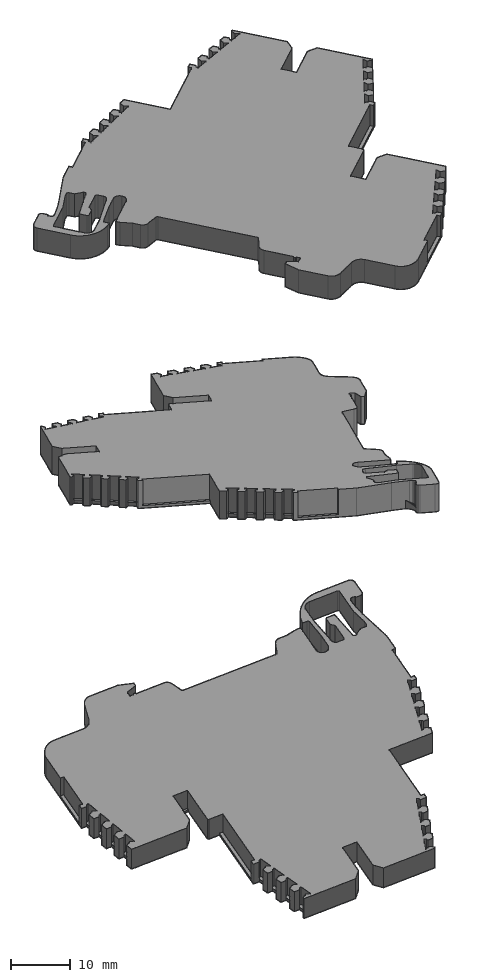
import cadquery as cq
import math

thickness = 5.0
overall_width = 64.0
overall_height = 60.0

lower_left = 0.85
lower_half_width = (overall_width - lower_left) / 2
lower_center = lower_left + lower_half_width
lower_top = 36.9
foot_top = 14.1

upper_center = 27.9
upper_half_width = 16.3

notch_count = 4
notch_height = 1.85
notch_floor_depth = 0.95
notch_floor_drop = 0.5
pocket_depth = 1.65
pocket_top_drop = 0.25
pocket_bottom_drop = 2.4
tooth_root_depth = 1.2
tooth_root_drop = 2.2
notch_web = 0.65
upper_row_height = 8.65
upper_row_run = 3.1
upper_pitch = upper_row_height / (notch_count - 1)
upper_lean = upper_row_run / upper_row_height
upper_tip_y = 59.75
upper_tip_half_width = 12.4
lower_row_height = 8.95
lower_row_run = 2.45
lower_pitch = lower_row_height / (notch_count - 1)
lower_lean = lower_row_run / lower_row_height
lower_tip_y = 35.7
lower_tip_half_width = 28.7
shoulder_round = 0.1
upper_shoulder = upper_tip_y - upper_row_height - notch_height
lower_shoulder = lower_tip_y - lower_row_height - notch_height

recess_depth = 0.65
lip = 0.48
upper_recess_top = 48.4
lower_recess_bottom = 17.2
lower_recess_top = 24.1

slot_width = 2.7
lead_in_width = 1.3
lead_in_depth = 1.4
upper_slot_floor = 52.75
lower_slot_left = 46.4
lower_slot_floor = 29.45
lower_slot_step = 0.4

foot_floor = 9.15
rail_pad = 6.2
hook_floor = 3.15
rail_recess_half_width = 8.95
rail_recess_taper = 1.1
heel_top = 4.0
heel_notch_floor = 3.7
clip_arm_x = 2.5
clip_bow_radius = 5.25
clip_bow_start = 6.7
clip_bow_end_angle = math.radians(80)
clip_tip_x = 12.05
clip_tip_y = 5.0
clip_gap_left = 10.55
clip_gap_right = 12.8
clip_gap_top = 12.5
window_floor = 1.3
window_top = 11.45
tongue_tip = 5.75

gusset_radius = 1.8
gusset_end_y = heel_top + gusset_radius
gusset_back_height = 1.7
gusset_front_height = 0.65


def plate(points, height=thickness):
    return cq.Workplane("XY").polyline(points).close().extrude(height)


def box(x0, y0, x1, y1, z0, z1):
    return cq.Workplane("XY").box(x1 - x0, y1 - y0, z1 - z0, centered=False).translate((x0, y0, z0))


def round_corners(body, corners):
    """Round the upright edges standing at the (x, y, radius) corners."""
    reach = 0.01
    for x, y, radius in corners:
        around = cq.selectors.BoxSelector(
            (x - reach, y - reach, 0), (x + reach, y + reach, thickness)
        )
        body = body.edges("|Z").edges(around).fillet(radius)
    return body


def tier(center, half_width, base, shoulder, top, tip_half_width, tip_y, lean):
    """Symmetric tier: upright walls, a shoulder and edges leaning in to the top."""
    shoulder_half_width = tip_half_width + (tip_y - shoulder) * lean
    top_half_width = tip_half_width - (top - tip_y) * lean
    half = [
        (half_width, base),
        (half_width, shoulder),
        (shoulder_half_width, shoulder),
        (top_half_width, top),
    ]
    right = [(center + x, y) for x, y in half]
    left = [(center - x, y) for x, y in reversed(half)]
    return plate(right + left)


def notches(center, tip_half_width, tip_y, lean, pitch):
    """Rows of undercut notches on both leaning edges of a tier, to be cut away."""
    clearance = 0.95
    mouth = [(0, notch_height), (-clearance, notch_height), (-clearance, 0), (0, 0)]
    shallow = mouth + [(notch_floor_depth, notch_floor_drop), (notch_floor_depth, notch_height)]
    deep = mouth + [
        (notch_floor_depth, notch_floor_drop),
        (pocket_depth, pocket_top_drop),
        (pocket_depth, pocket_bottom_drop),
        (tooth_root_depth, tooth_root_drop),
        (notch_floor_depth, notch_height),
    ]
    cutter = cq.Workplane("XY")
    for index in range(notch_count):
        y = tip_y - index * pitch
        half_width = tip_half_width + index * pitch * lean
        for side in (-1, 1):
            for profile, base in ((shallow, 0), (deep, notch_web)):
                points = []
                for depth, drop in profile:
                    x = half_width - depth + drop * lean
                    points.append((center + side * x, y - drop))
                cutter = cutter.add(plate(points, thickness - base).translate((0, 0, base)))
    return cutter.combine()


def side_recesses(center, half_width, bottom, top):
    """Matching wall recesses on both sides of a tier, to be cut away."""
    inner = half_width - recess_depth
    left = box(center - half_width, bottom, center - inner, top, lip, thickness)
    right = box(center + inner, bottom, center + half_width, top, lip, thickness)
    return left.union(right)


def clip_bow_point(angle):
    """Point on the clip bow, at an angle measured up from its lowest point."""
    return (
        clip_bow_start + clip_bow_radius * math.sin(angle),
        clip_bow_radius * (1 - math.cos(angle)),
    )


def foot():
    """Lower body with the rail recess, the fixed hook and the spring clip."""
    bead_bottom = rail_pad - 0.2
    hook_tip_x = 43.3
    hook_root_x = 45.2
    hook_base_x = 45.9
    foot_end_x = 52.5
    foot_root_x = 54.1
    heel_inner_x = 1.5
    gap_foot_y = 5.75
    gap_foot_end_x = 13.6
    ramp_end_x = 15.6
    rail_left = upper_center - rail_recess_half_width
    rail_right = upper_center + rail_recess_half_width
    clip_corner_x = 10.9
    body = (
        cq.Workplane("XY")
        .moveTo(lower_left, foot_top)
        .lineTo(2.1, 7.9)
        .tangentArcPoint((clip_arm_x, 4.75), relative=False)
        .lineTo(clip_arm_x, heel_notch_floor)
        .lineTo(heel_inner_x, heel_notch_floor)
        .lineTo(heel_inner_x, heel_top)
        .lineTo(0, heel_top)
        .lineTo(0, 0)
        .lineTo(clip_bow_start, 0)
        .threePointArc(clip_bow_point(clip_bow_end_angle / 2), clip_bow_point(clip_bow_end_angle))
        .lineTo(clip_tip_x, clip_tip_y)
        .lineTo(clip_corner_x, clip_tip_y)
        .lineTo(clip_gap_left, 8.95)
        .lineTo(clip_gap_left, clip_gap_top)
        .lineTo(clip_gap_right, clip_gap_top)
        .lineTo(clip_gap_right, gap_foot_y)
        .lineTo(gap_foot_end_x, gap_foot_y)
        .lineTo(ramp_end_x, rail_pad)
        .lineTo(rail_left - rail_recess_taper, rail_pad)
        .lineTo(rail_left, foot_floor)
        .lineTo(rail_right, foot_floor)
        .lineTo(rail_right + rail_recess_taper, rail_pad)
        .lineTo(44.0, rail_pad)
        .lineTo(44.1, bead_bottom)
        .lineTo(44.45, bead_bottom)
        .lineTo(44.55, rail_pad)
        .lineTo(hook_root_x, rail_pad)
        .lineTo(hook_root_x, 5.25)
        .lineTo(hook_tip_x, 4.6)
        .lineTo(hook_tip_x, 4.0)
        .lineTo(hook_base_x, hook_floor)
        .lineTo(foot_end_x, hook_floor)
        .lineTo(foot_root_x, foot_floor)
        .lineTo(overall_width, foot_floor)
        .lineTo(overall_width, foot_top)
        .close()
        .extrude(thickness)
    )
    return round_corners(
        body,
        [
            (clip_arm_x, heel_notch_floor, 0.45),
            (0, heel_top, 0.6),
            (0, 0, 0.9),
            (clip_corner_x, clip_tip_y, 0.3),
            (clip_gap_left, clip_gap_top, 1.1),
            (clip_gap_right, clip_gap_top, 1.1),
            (rail_left - rail_recess_taper, rail_pad, 1.15),
            (rail_right + rail_recess_taper, rail_pad, 1.15),
            (rail_left, foot_floor, 0.3),
            (rail_right, foot_floor, 0.3),
            (foot_end_x, hook_floor, 1.8),
            (foot_root_x, foot_floor, 1.9),
            (overall_width, foot_floor, 3.1),
        ],
    )


def clip_window():
    """Opening inside the spring clip, with a tongue hanging into it."""
    left, right = 3.25, 10.1
    upper_left, upper_right = 2.7, 9.5
    tongue_right = 7.4
    barb_x = 8.05
    tongue_left = 5.75
    ledge_y = 10.55
    window = plate(
        [
            (left, window_floor),
            (right, window_floor),
            (right, 5.4),
            (upper_right, window_top),
            (tongue_right, window_top),
            (tongue_right, 8.0),
            (barb_x, 7.35),
            (barb_x, tongue_tip),
            (6.4, tongue_tip),
            (tongue_left, window_top),
            (5.3, window_top),
            (4.05, ledge_y),
            (upper_left, ledge_y),
            (upper_left, 9.5),
            (left, 6.5),
        ]
    )
    return round_corners(
        window,
        [
            (left, window_floor, 0.25),
            (right, window_floor, 1.3),
            (upper_right, window_top, 0.8),
            (tongue_right, window_top, 0.4),
            (barb_x, tongue_tip, 0.25),
            (tongue_left, window_top, 0.25),
            (upper_left, ledge_y, 0.4),
        ],
    )


def heel_gusset():
    """Concave web in the corner of arm and heel, its top sloping down to the heel."""
    web_left = clip_arm_x - gusset_radius
    arc_mid = gusset_radius * math.sqrt(0.5)
    web = (
        cq.Workplane("XY")
        .moveTo(web_left, heel_notch_floor)
        .lineTo(web_left, heel_top)
        .threePointArc(
            (web_left + arc_mid, heel_top + gusset_radius - arc_mid),
            (clip_arm_x, heel_top + gusset_radius),
        )
        .lineTo(clip_arm_x, heel_notch_floor)
        .close()
        .extrude(gusset_back_height)
    )
    slope = (
        cq.Workplane("YZ")
        .polyline(
            [
                (heel_notch_floor, 0),
                (gusset_end_y, 0),
                (gusset_end_y, gusset_back_height),
                (heel_notch_floor, gusset_front_height),
            ]
        )
        .close()
        .extrude(clip_arm_x)
    )
    return web.intersect(slope)


def upper_slot():
    half = slot_width / 2
    mouth = half + lead_in_width
    lead_in_floor = overall_height - lead_in_depth
    right = [(half, upper_slot_floor), (half, lead_in_floor), (mouth, overall_height)]
    left = [(-x, y) for x, y in reversed(right)]
    return plate([(upper_center + x, y) for x, y in right + left])


def lower_slot():
    slot_right = lower_slot_left + slot_width
    corner_break = 0.2
    slot = plate(
        [
            (lower_slot_left, lower_slot_floor),
            (slot_right, lower_slot_floor),
            (slot_right, lower_top - lead_in_depth),
            (slot_right + lead_in_width, lower_top),
            (lower_slot_left - corner_break, lower_top),
            (lower_slot_left, lower_top - corner_break),
        ]
    )
    step_top = lower_slot_floor + lower_slot_step
    return slot.cut(box(lower_slot_left, lower_slot_floor, slot_right, step_top, 0, lip))


upper_tier = tier(
    upper_center, upper_half_width, lower_top, upper_shoulder, overall_height,
    upper_tip_half_width, upper_tip_y, upper_lean,
)
upper_tier = round_corners(
    upper_tier,
    [(upper_center + side * upper_half_width, upper_shoulder, shoulder_round) for side in (-1, 1)],
)
lower_tier = tier(
    lower_center, lower_half_width, foot_top, lower_shoulder, lower_top,
    lower_tip_half_width, lower_tip_y, lower_lean,
)

result = foot().cut(clip_window()).union(heel_gusset())
result = result.union(lower_tier).union(upper_tier)
result = result.cut(notches(upper_center, upper_tip_half_width, upper_tip_y, upper_lean, upper_pitch))
result = result.cut(notches(lower_center, lower_tip_half_width, lower_tip_y, lower_lean, lower_pitch))
result = result.cut(side_recesses(upper_center, upper_half_width, lower_top, upper_recess_top))
result = result.cut(side_recesses(lower_center, lower_half_width, lower_recess_bottom, lower_recess_top))
result = result.cut(upper_slot()).cut(lower_slot())